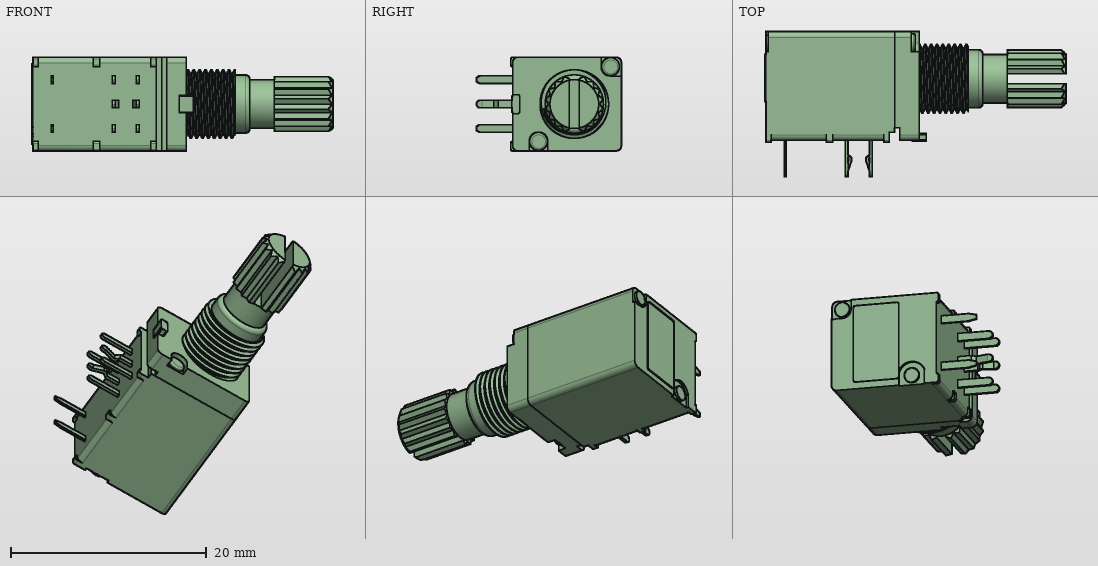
import cadquery as cq
import math


block_width = 9.6
half_width = block_width / 2
top_y = 4.85
bottom_y = -6.3
corner_radius = 0.6
seam_x = -2.53
rear_x = -15.7

rivet_z = 3.82
upper_rivet = (3.7, rivet_z)
lower_rivet = (-3.65, -rivet_z)
rear_rivet_radius = 0.77
rear_pocket_depth = 0.25
round_pocket_radius = 0.95
lower_pocket_half_width = 1.35
lower_pocket_radius = 1.45
front_rivet_radius = 0.92
front_rivet_height = 0.4
front_rivet_fillet = 0.22
front_pocket_depth = 0.83

case_notch_length = 0.55
case_notch_y = -5.48
case_front_x = seam_x - case_notch_length
panel_thickness = 0.1
panel_top_y = 2.5
panel_bottom_y = -2.35
panel_height = 8.2
panel_corner_radius = 0.25
foot_bottom_y = -6.5
foot_width = 1.0
foot_radius = 0.2
end_foot_length = 0.55
middle_foot_length = 0.65
middle_foot_x = -9.18

terminal_pitch = 2.5
terminal_width = 0.8
terminal_end_y = -10.0
terminal_root_y = bottom_y + 0.3
rear_row_x = -13.7
middle_row_x = -7.45
front_row_x = -4.95
rear_terminal_thickness = 0.22
terminal_thickness = 0.3
taper_length = 0.8
taper_end_width = 0.43
tip_flat = 0.003
kink_start_y = -7.75
kink_end_y = -9.5
kink_offset = 0.37
kink_peak_y = -8.22
kink_crest_length = 0.3

plate_notch_length = 0.5
plate_notch_y = -5.02
lug_length = 1.45
lug_tip_x = 0.7
lug_width = 1.95
lug_top_y = -5.57
lug_bottom_y = -6.38
lug_chamfer = 0.15

thread_length = 5.0
thread_pitch = 0.6
thread_crest_radius = 3.5
thread_root_radius = 3.15
thread_crest_flat = 0.1
thread_flank_slope = 0.5
thread_overlap = 0.05
collar_radius = 3.0
collar_end_x = 6.5
shaft_radius = 2.5
spline_start_x = 9.0
shaft_end_x = 15.0
spline_count = 18
spline_tip_radius = 3.0
spline_root_radius = 2.62
spline_end_chamfer = 0.5
slot_width = 1.0


def box(x_range, y_range, z_range):
    """Rectangular block between the given limits along X, Y and Z."""
    size = [high - low for low, high in (x_range, y_range, z_range)]
    corner = (x_range[0], y_range[0], z_range[0])
    return cq.Workplane("XY").box(*size, centered=False).translate(corner)


def cylinder(start_x, end_x, radius, center=(0, 0)):
    """Cylinder along X whose axis passes through center, given as (Y, Z)."""
    return cq.Workplane("YZ", origin=(start_x, *center)).circle(radius).extrude(end_x - start_x)


def block(start_x, end_x):
    """Length of the common rounded rectangular outline."""
    full = box((start_x, end_x), (bottom_y, top_y), (-half_width, half_width))
    return full.edges("|X").fillet(corner_radius)


def upper_pocket(start_x, end_x):
    """Corner pocket round the upper rivet, open towards +Y and +Z."""
    y, z = upper_rivet
    r = round_pocket_radius
    corner = box((start_x, end_x), (y - r, top_y), (z - r, half_width))
    return corner.edges("|X and <Y and <Z").fillet(r)


def lower_pocket(start_x, end_x, pocket_half_width, end_radius):
    """Channel over the lower rivet, open towards -Z and closed by an arc about the rivet axis."""
    y, z = lower_rivet
    end = cylinder(start_x, end_x, end_radius, lower_rivet)
    reach = end.union(box((start_x, end_x), (y - end_radius, y + end_radius), (-half_width, z)))
    y_limits = (y - pocket_half_width, y + pocket_half_width)
    return reach.intersect(box((start_x, end_x), y_limits, (-half_width, z + end_radius)))


def foot(start_x, length, side):
    """Standoff foot on a bottom edge of the case; side is +1 for +Z and -1 for -Z."""
    z_limits = sorted((side * half_width, side * (half_width - foot_width)))
    blank = box((start_x, start_x + length), (foot_bottom_y, bottom_y + corner_radius), z_limits)
    return blank.edges("|X and <Y").fillet(foot_radius)


def tapered_terminal(z):
    """Thin rear terminal whose tip narrows to a flat end."""
    half = terminal_width / 2
    half_end = taper_end_width / 2
    shoulder_y = terminal_end_y + taper_length
    outline = [
        (terminal_root_y, z - half),
        (terminal_root_y, z + half),
        (shoulder_y, z + half),
        (terminal_end_y, z + half_end),
        (terminal_end_y, z - half_end),
        (shoulder_y, z - half),
    ]
    plane = cq.Workplane("YZ", origin=(rear_row_x - rear_terminal_thickness / 2, 0, 0))
    return plane.polyline(outline).close().extrude(rear_terminal_thickness)


def round_tip(terminal):
    """Round the free end of a terminal into a half circle, leaving a sliver of flat."""
    return terminal.edges("|X and <Y").fillet(terminal_width / 2 - tip_flat)


def straight_terminal(x, z):
    """Flat terminal with a round tip."""
    half_thickness = terminal_thickness / 2
    half = terminal_width / 2
    x_limits = (x - half_thickness, x + half_thickness)
    return round_tip(box(x_limits, (terminal_end_y, terminal_root_y), (z - half, z + half)))


def kinked_terminal(x, direction):
    """Terminal in the Z = 0 plane, bent sideways along X for snapping in; direction is +1 or -1."""
    near_x = x - direction * terminal_thickness / 2
    far_x = x + direction * terminal_thickness / 2
    bend = direction * kink_offset
    outline = [
        (near_x, terminal_root_y),
        (near_x, kink_start_y),
        (near_x + bend, kink_peak_y),
        (near_x, kink_end_y),
        (near_x, terminal_end_y),
        (far_x, terminal_end_y),
        (far_x, kink_end_y),
        (far_x + bend, kink_peak_y - kink_crest_length / 2),
        (far_x + bend, kink_peak_y + kink_crest_length / 2),
        (far_x, kink_start_y),
        (far_x, terminal_root_y),
    ]
    strip = cq.Workplane("XY").polyline(outline).close().extrude(terminal_width / 2, both=True)
    return round_tip(strip)


def make_switch_case():
    """Rear case with its feet, rear panel, rivet heads and eight terminals."""
    case = block(rear_x, seam_x)
    case = case.cut(box((case_front_x, seam_x), (bottom_y, case_notch_y), (-half_width, half_width)))

    for side in (1, -1):
        case = case.union(foot(rear_x, end_foot_length, side))
        case = case.union(foot(middle_foot_x - middle_foot_length / 2, middle_foot_length, side))
        case = case.union(foot(case_front_x - end_foot_length, end_foot_length, side))

    panel = box(
        (rear_x - panel_thickness, rear_x),
        (panel_bottom_y, panel_top_y),
        (-panel_height / 2, panel_height / 2),
    )
    case = case.union(panel.edges("|X").fillet(panel_corner_radius))

    pocket_floor_x = rear_x + rear_pocket_depth
    case = case.cut(upper_pocket(rear_x, pocket_floor_x))
    case = case.cut(lower_pocket(rear_x, pocket_floor_x, lower_pocket_half_width, lower_pocket_radius))
    for center in (upper_rivet, lower_rivet):
        case = case.union(cylinder(rear_x, pocket_floor_x, rear_rivet_radius, center))

    for z in (-terminal_pitch, terminal_pitch):
        case = case.union(tapered_terminal(z))
        for x in (middle_row_x, front_row_x):
            case = case.union(straight_terminal(x, z))
    case = case.union(kinked_terminal(middle_row_x, 1))
    return case.union(kinked_terminal(front_row_x, -1))


def thread_ridge():
    """Right-handed helical ridge that starts inside the plate and is cut flat at the thread end."""
    start_x = -thread_pitch
    ridge_length = thread_length + 2 * thread_pitch
    base_radius = thread_root_radius - thread_overlap
    half_crest = thread_crest_flat / 2
    half_base = half_crest + thread_flank_slope * (thread_crest_radius - base_radius)
    profile = (
        cq.Workplane("XZ")
        .moveTo(base_radius, -half_base)
        .lineTo(thread_crest_radius, -half_crest)
        .lineTo(thread_crest_radius, half_crest)
        .lineTo(base_radius, half_base)
        .close()
    )
    helix = cq.Wire.makeHelix(thread_pitch, ridge_length, base_radius)
    ridge = profile.sweep(cq.Workplane(obj=helix), isFrenet=True)
    ridge = ridge.rotate((0, 0, 0), (1, 1, 1), 120).translate((start_x, 0, 0))
    return ridge.intersect(cylinder(start_x, thread_length, 2 * thread_crest_radius))


def splined_end():
    """Splined, slotted shaft end with chamfered spline tips; spline grooves lie on the Y axis."""
    points = []
    for i in range(2 * spline_count):
        angle = i * math.pi / spline_count
        radius = spline_root_radius if i % 2 == 0 else spline_tip_radius
        points.append((radius * math.cos(angle), radius * math.sin(angle)))
    length = shaft_end_x - spline_start_x
    splines = cq.Workplane("YZ", origin=(spline_start_x, 0, 0)).polyline(points).close().extrude(length)
    envelope = cylinder(spline_start_x, shaft_end_x, spline_tip_radius)
    splines = splines.intersect(envelope.faces(">X").chamfer(spline_end_chamfer))
    half_slot = slot_width / 2
    slot = box(
        (spline_start_x, shaft_end_x),
        (-half_slot, half_slot),
        (-spline_tip_radius, spline_tip_radius),
    )
    return splines.cut(slot)


def bushing_and_shaft():
    """Threaded bushing with a rounded collar, and the shaft that leaves it."""
    shoulder_radius = collar_radius - shaft_radius
    arc_start_x = collar_end_x - shoulder_radius
    arc_mid = (
        arc_start_x + shoulder_radius * math.sin(math.pi / 4),
        shaft_radius + shoulder_radius * math.cos(math.pi / 4),
    )
    core = (
        cq.Workplane("XZ")
        .moveTo(seam_x, 0)
        .lineTo(seam_x, thread_root_radius)
        .lineTo(thread_length, thread_root_radius)
        .lineTo(thread_length, collar_radius)
        .lineTo(arc_start_x, collar_radius)
        .threePointArc(arc_mid, (collar_end_x, shaft_radius))
        .lineTo(spline_start_x, shaft_radius)
        .lineTo(spline_start_x, 0)
        .close()
        .revolve(360, (0, 0, 0), (1, 0, 0))
    )
    return core.union(thread_ridge()).union(splined_end())


def make_front_unit():
    """Front plate with its locating lug and rivet heads, joined to the bushing and shaft."""
    plate = block(seam_x, 0)
    notch_end_x = seam_x + plate_notch_length
    plate = plate.cut(box((seam_x, notch_end_x), (bottom_y, plate_notch_y), (-half_width, half_width)))

    plate = plate.cut(upper_pocket(-front_pocket_depth, 0))
    plate = plate.cut(lower_pocket(-front_pocket_depth, 0, round_pocket_radius, round_pocket_radius))
    for center in (upper_rivet, lower_rivet):
        head_end_x = -front_pocket_depth + front_rivet_height
        head = cylinder(-front_pocket_depth, head_end_x, front_rivet_radius, center)
        plate = plate.union(head.faces(">X").edges().fillet(front_rivet_fillet))

    lug = box(
        (lug_tip_x - lug_length, lug_tip_x),
        (lug_bottom_y, lug_top_y),
        (-lug_width / 2, lug_width / 2),
    )
    plate = plate.union(lug.edges("|X").chamfer(lug_chamfer))
    return plate.union(bushing_and_shaft())


switch_case = make_switch_case()
front_unit = make_front_unit()

result = cq.Compound.makeCompound([switch_case.solids().val(), front_unit.solids().val()])